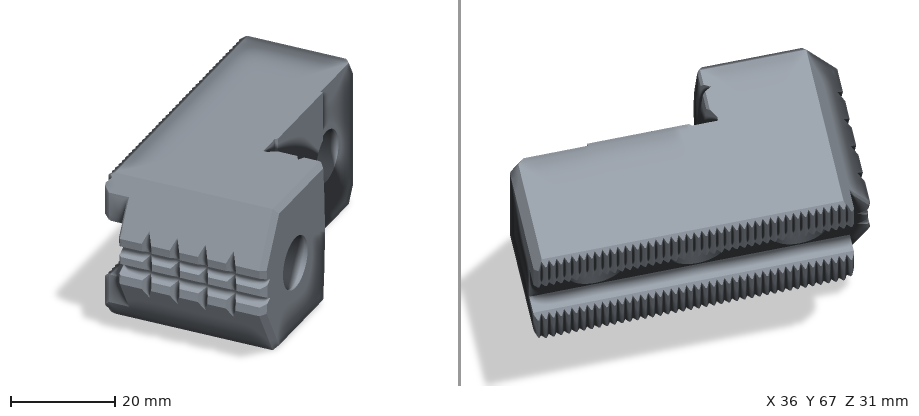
import cadquery as cq
import math


LENGTH = 67.0
WIDTH = 31.0
HEAD_HEIGHT = 36.0
BASE_HEIGHT = 23.5
HALF_WIDTH = WIDTH / 2
BEVEL_SLOPE = math.tan(math.radians(60))
VEE_SLOPE = math.tan(math.radians(30))
NOSE_BEVEL = 6.1
TAIL_BEVEL = 1.7
EDGE_CHAMFER = 1.1
FLOOR_CHAMFER = 0.4
OVERLAP = 0.7

SLOT_WIDTH = 11.85
SLOT_DEPTH = 4.95
RAIL_LENGTH = 62.9
RAIL_START = LENGTH - RAIL_LENGTH
RAIL_CHAMFER_X = 1.4
RAIL_CHAMFER_Z = 0.9
TOOTH_COUNT = 42
TOOTH_DEPTH = 1.1
TOOTH_PITCH = RAIL_LENGTH / TOOTH_COUNT
TOOTH_HALF_GAP = TOOTH_DEPTH * VEE_SLOPE

HOLE_DIAMETER = 11.0
HOLE_SPACING = 20.0
MIDDLE_HOLE_Y = 33.95

NOSE_HALF_WIDTH = HALF_WIDTH - NOSE_BEVEL * BEVEL_SLOPE
NOSE_Y = 0.4
HOLLOW_RADIUS = (NOSE_HALF_WIDTH**2 + NOSE_Y**2) / (2 * NOSE_Y)
NOSE_GROOVE_Y = 2.7
NOSE_GROOVE_Z = 2.1
NOSE_GROOVE_INNER_Z = 0.55
NOSE_GROOVE_OUTER_Z = 3.3
CROSS_GROOVE_COUNT = 4
CROSS_GROOVE_START_X = 11.0
CROSS_GROOVE_SPAN = 17.9
CROSS_GROOVE_PITCH = CROSS_GROOVE_SPAN / (CROSS_GROOVE_COUNT - 1)
CROSS_GROOVE_DEPTH = 1.75
CROSS_GROOVE_HALF_WIDTH = CROSS_GROOVE_DEPTH * VEE_SLOPE

STEP_Y = 28.3
CROWN_RADIUS = 134.0
STEP_CHAMFER_Y = 1.35
STEP_CHAMFER_Z = 2.15
RELIEF_DEPTH = 1.5
RELIEF_END_X = 24.3
STEP_GROOVE_X = 30.95
STEP_GROOVE_DEPTH = 1.7
STEP_GROOVE_HALF_WIDTH = STEP_GROOVE_DEPTH * VEE_SLOPE

PAD_START_Y = 31.0
PAD_END_Y = 51.5
PAD_RISE = 0.5


def beveled_prism(start_x, end_x):
    """Full-length body with a pointed nose and a bevelled tail."""
    nose_z = NOSE_HALF_WIDTH
    tail_z = HALF_WIDTH - TAIL_BEVEL * BEVEL_SLOPE
    outline = [
        (0, -nose_z),
        (NOSE_BEVEL, -HALF_WIDTH),
        (LENGTH - TAIL_BEVEL, -HALF_WIDTH),
        (LENGTH, -tail_z),
        (LENGTH, tail_z),
        (LENGTH - TAIL_BEVEL, HALF_WIDTH),
        (NOSE_BEVEL, HALF_WIDTH),
        (0, nose_z),
    ]
    return cq.Workplane("YZ").workplane(offset=start_x).polyline(outline).close().extrude(end_x - start_x)


def base():
    """Low part along the whole jaw, chamfered at the front of the tail and along the slot floor's nose."""
    side = (-HALF_WIDTH, HALF_WIDTH)
    nose_zone = cq.selectors.BoxSelector((0, -OVERLAP, side[0]), (HEAD_HEIGHT, NOSE_BEVEL, side[1]))
    tail_zone = cq.selectors.BoxSelector(
        (0, LENGTH - TAIL_BEVEL, side[0]), (HEAD_HEIGHT, LENGTH + OVERLAP, side[1]))
    prism = beveled_prism(SLOT_DEPTH, BASE_HEIGHT)
    prism = prism.faces(">X").edges(tail_zone).chamfer(EDGE_CHAMFER)
    return prism.faces("<X").edges(nose_zone).chamfer(FLOOR_CHAMFER)


def head():
    """Tall part at the nose, chamfered around its front face."""
    prism = beveled_prism(SLOT_DEPTH, HEAD_HEIGHT).faces(">X").chamfer(EDGE_CHAMFER)
    start_x = BASE_HEIGHT - OVERLAP
    zone = cq.Workplane("XY").box(HEAD_HEIGHT - start_x, STEP_Y, WIDTH, centered=(False, False, True))
    return prism.intersect(zone.translate((start_x, 0, 0)))


def rail():
    """Serrated rail on the +Z side of the slot."""
    slot_z = SLOT_WIDTH / 2
    root_x = SLOT_DEPTH + FLOOR_CHAMFER
    section = [
        (0, slot_z + RAIL_CHAMFER_Z),
        (RAIL_CHAMFER_X, slot_z),
        (root_x, slot_z),
        (root_x, HALF_WIDTH),
        (RAIL_CHAMFER_X, HALF_WIDTH),
        (0, HALF_WIDTH - RAIL_CHAMFER_Z),
    ]
    bar = cq.Workplane("XZ", origin=(0, RAIL_START, 0)).polyline(section).close().extrude(-RAIL_LENGTH)
    gaps = cq.Workplane("XY")
    for i in range(TOOTH_COUNT + 1):
        y = RAIL_START + i * TOOTH_PITCH
        gaps = gaps.polyline([(0, y - TOOTH_HALF_GAP), (TOOTH_DEPTH, y), (0, y + TOOTH_HALF_GAP)]).close()
    return bar.intersect(beveled_prism(0, root_x)).cut(gaps.extrude(HALF_WIDTH))


def bolt_holes():
    """Three holes through the slot floor along X."""
    centers = [(MIDDLE_HOLE_Y + i * HOLE_SPACING, 0) for i in (-1, 0, 1)]
    return cq.Workplane("YZ").pushPoints(centers).circle(HOLE_DIAMETER / 2).extrude(HEAD_HEIGHT)


def nose_cutter():
    """Space in front of the hollow nose face: V ridges for the cross grooves and edge chamfers, revolved."""
    axis_y = NOSE_Y - HOLLOW_RADIUS
    outline = [
        (SLOT_DEPTH, axis_y),
        (SLOT_DEPTH, NOSE_Y + FLOOR_CHAMFER),
        (SLOT_DEPTH + FLOOR_CHAMFER, NOSE_Y),
    ]
    for i in range(CROSS_GROOVE_COUNT):
        x = CROSS_GROOVE_START_X + i * CROSS_GROOVE_PITCH
        outline += [
            (x - CROSS_GROOVE_HALF_WIDTH, NOSE_Y),
            (x, NOSE_Y + CROSS_GROOVE_DEPTH),
            (x + CROSS_GROOVE_HALF_WIDTH, NOSE_Y),
        ]
    outline += [
        (HEAD_HEIGHT - EDGE_CHAMFER, NOSE_Y),
        (HEAD_HEIGHT, NOSE_Y + EDGE_CHAMFER),
        (HEAD_HEIGHT, axis_y),
    ]
    return cq.Workplane("XY").polyline(outline).close().revolve(360, (0, axis_y), (1, axis_y))


def nose_groove():
    """V groove along the nose on the +Z side of the middle."""
    section = [(0, NOSE_GROOVE_INNER_Z), (NOSE_GROOVE_Y, NOSE_GROOVE_Z), (0, NOSE_GROOVE_OUTER_Z)]
    return cq.Workplane("YZ").polyline(section).close().extrude(HEAD_HEIGHT)


def step_cutter():
    """Space outside the crowned step face: a relief, a V groove and a corner chamfer, revolved."""
    relief_y = STEP_Y - RELIEF_DEPTH
    ramp_end_x = RELIEF_END_X + RELIEF_DEPTH * BEVEL_SLOPE
    outer_y = STEP_Y + 2 * OVERLAP
    outline = [
        (BASE_HEIGHT, outer_y),
        (BASE_HEIGHT, relief_y),
        (RELIEF_END_X, relief_y),
        (ramp_end_x, STEP_Y),
        (STEP_GROOVE_X - STEP_GROOVE_HALF_WIDTH, STEP_Y),
        (STEP_GROOVE_X, STEP_Y - STEP_GROOVE_DEPTH),
        (STEP_GROOVE_X + STEP_GROOVE_HALF_WIDTH, STEP_Y),
        (HEAD_HEIGHT - EDGE_CHAMFER, STEP_Y),
        (HEAD_HEIGHT, STEP_Y - EDGE_CHAMFER),
        (HEAD_HEIGHT, outer_y),
    ]
    axis_y = STEP_Y - CROWN_RADIUS
    return cq.Workplane("XY").polyline(outline).close().revolve(360, (0, axis_y), (1, axis_y))


def step_edge_cutter():
    """Chamfer along the +Z edge of the step face."""
    corner = [
        (STEP_Y, HALF_WIDTH),
        (STEP_Y - STEP_CHAMFER_Y, HALF_WIDTH),
        (STEP_Y, HALF_WIDTH - STEP_CHAMFER_Z),
    ]
    depth = HEAD_HEIGHT - BASE_HEIGHT
    return cq.Workplane("YZ", origin=(BASE_HEIGHT, 0, 0)).polyline(corner).close().extrude(depth)


def pad():
    """Raised pad across the base, with a sloped end towards the step."""
    outline = [
        (BASE_HEIGHT - OVERLAP, PAD_START_Y),
        (BASE_HEIGHT, PAD_START_Y),
        (BASE_HEIGHT + PAD_RISE, PAD_START_Y + PAD_RISE),
        (BASE_HEIGHT + PAD_RISE, PAD_END_Y),
        (BASE_HEIGHT - OVERLAP, PAD_END_Y),
    ]
    return cq.Workplane("XY", origin=(0, 0, -HALF_WIDTH)).polyline(outline).close().extrude(WIDTH)


step_edge = step_edge_cutter()
stepped_head = head().cut(step_cutter()).cut(step_edge).cut(step_edge.mirror("XY"))
upper_rail = rail()
body = base().union(stepped_head).union(pad()).union(upper_rail).union(upper_rail.mirror("XY"))
upper_groove = nose_groove()
gripping_body = body.cut(nose_cutter()).cut(upper_groove).cut(upper_groove.mirror("XY"))
result = gripping_body.cut(bolt_holes())